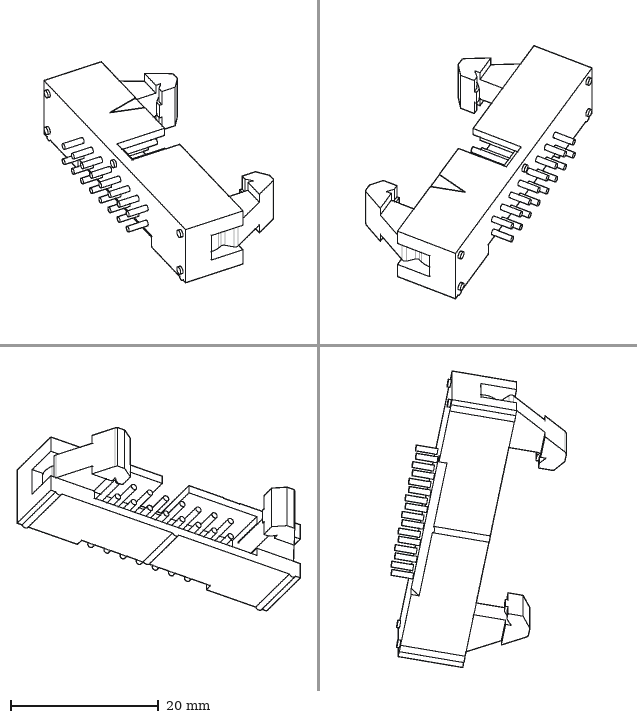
import cadquery as cq
import math


length = 39.37
depth = 8.9
height = 8.9
mid_height = height / 2
wall = 1.22
cavity_depth = 6.4
end_block = 6.9
cavity_length = length - 2 * end_block
key_width = 4.2
key_depth = 7.35

relief_length = 20.3
relief_height = 1.9
relief_angle = 30.0
relief_depth = relief_height * math.tan(math.radians(relief_angle))

mark_width = 2.55
mark_length = 4.65
mark_depth = 0.08

pins_per_row = 8
row_span = 17.8
pitch = row_span / (pins_per_row - 1)
pin_diameter = 0.83
pin_tail = 2.95
pin_recess = 0.35

bump_diameter = 1.05
bump_inset = 1.38
bump_x = 18.43
standoff_height = 0.35
rib_height = 0.3

slot_depth = 4.92
slot_height = 4.1
arm_height = 3.8
head_height = 6.45
hook_core_height = 2.13
head_start = 4.6
latch_reach = 7.95
latch_inset = 1.05
back_angle = 30.0
bend_radius = 0.5
hook_reach = 1.65
hook_lip = 0.8
hook_rise = 0.75
hook_step = 0.35
nose_drop = 1.25
tip_bevel = 0.25


def box(x_size, y_start, y_end, z_start, z_end):
    """Block centred on X = 0 between the given Y and Z limits."""
    block = cq.Workplane("XY").box(x_size, y_end - y_start, z_end - z_start, centered=(True, False, False))
    return block.translate((0, y_start, z_start))


def slab(outline, thickness):
    """Extrude an XY outline equally to both sides of mid-height."""
    return outline.extrude(thickness / 2, both=True).translate((0, 0, mid_height))


def rod(x, z, diameter, y_start, y_end):
    """Cylinder along Y."""
    circle = cq.Workplane("XZ").center(x, z).circle(diameter / 2)
    return circle.extrude(-(y_end - y_start)).translate((0, y_start, 0))


def make_housing():
    body = box(length, 0, depth, 0, height)
    for x in (-bump_x, 0, bump_x):
        body = body.union(rod(x, bump_diameter / 2 - rib_height, bump_diameter, 0, depth))

    body = body.cut(box(cavity_length, depth - cavity_depth, depth, wall, height - wall))
    body = body.cut(box(key_width, depth - key_depth, depth, height - wall, height))
    for side in (-1, 1):
        slot = box(end_block, depth - slot_depth, depth, 0, slot_height)
        slot_x = side * (length - end_block) / 2
        body = body.cut(slot.translate((slot_x, 0, mid_height - slot_height / 2)))

    relief_slope = relief_depth / relief_height
    relief = (
        cq.Workplane("YZ")
        .moveTo(0, relief_height)
        .lineTo(relief_depth + rib_height * relief_slope, -rib_height)
        .lineTo(0, -rib_height)
        .close()
        .extrude(relief_length / 2, both=True)
    )
    body = body.cut(relief)

    mark = (
        cq.Workplane("XY", origin=(-row_span / 2, depth, height))
        .moveTo(-mark_width / 2, 0)
        .lineTo(mark_width / 2, 0)
        .lineTo(0, -mark_length)
        .close()
        .extrude(-mark_depth)
    )
    return body.cut(mark)


def make_latch():
    """Latch at the -X end."""
    back_slope = math.tan(math.radians(back_angle))
    bevel_y = latch_reach - tip_bevel
    bevel_x = latch_inset + bevel_y * back_slope
    inner_x = end_block
    hook_x = inner_x + hook_reach

    bend_y = -0.6
    bend_x = latch_inset + bend_y * back_slope
    hollow = (2.15, -1.95)
    heel_start = (1.8, -2.75)
    heel_middle = (1.55, -4.0)
    heel_end = (1.65, -slot_depth)

    base = cq.Workplane("XY", origin=(-length / 2, depth, 0))
    arm = slab(
        base.moveTo(inner_x, latch_reach)
        .lineTo(bevel_x + tip_bevel, latch_reach)
        .lineTo(bevel_x, bevel_y)
        .lineTo(bend_x, bend_y)
        .lineTo(*hollow)
        .lineTo(*heel_start)
        .threePointArc(heel_middle, heel_end)
        .lineTo(inner_x, -slot_depth)
        .close(),
        arm_height,
    )
    for x, y in ((bend_x, bend_y), hollow):
        corner = cq.selectors.NearestToPointSelector((x - length / 2, y + depth, mid_height))
        arm = arm.edges("|Z").edges(corner).fillet(bend_radius)

    head = slab(
        base.moveTo(inner_x, latch_reach)
        .lineTo(bevel_x + tip_bevel, latch_reach)
        .lineTo(bevel_x, bevel_y)
        .lineTo(latch_inset + head_start * back_slope, head_start)
        .lineTo(inner_x, head_start)
        .close(),
        head_height,
    )

    def hook(end_y, thickness):
        return slab(
            base.moveTo(inner_x, latch_reach)
            .lineTo(hook_x, latch_reach - nose_drop)
            .lineTo(hook_x, end_y)
            .lineTo(hook_x - hook_lip, end_y)
            .lineTo(inner_x, end_y + hook_rise)
            .close(),
            thickness,
        )

    latch = arm.union(head).union(hook(head_start, head_height))
    return latch.union(hook(head_start - hook_step, hook_core_height))


def add_pins_and_standoffs(body):
    for column in range(pins_per_row):
        x = column * pitch - row_span / 2
        for z in (mid_height - pitch / 2, mid_height + pitch / 2):
            body = body.union(rod(x, z, pin_diameter, -pin_tail, depth - pin_recess))

    top_z = height - bump_inset
    corners = [(x, z) for x in (-bump_x, bump_x) for z in (bump_inset, top_z)]
    for x, z in corners + [(0, top_z)]:
        body = body.union(rod(x, z, bump_diameter, -standoff_height, 0))
    return body


left_latch = make_latch()
right_latch = left_latch.mirror("YZ")
result = add_pins_and_standoffs(make_housing().union(left_latch).union(right_latch))